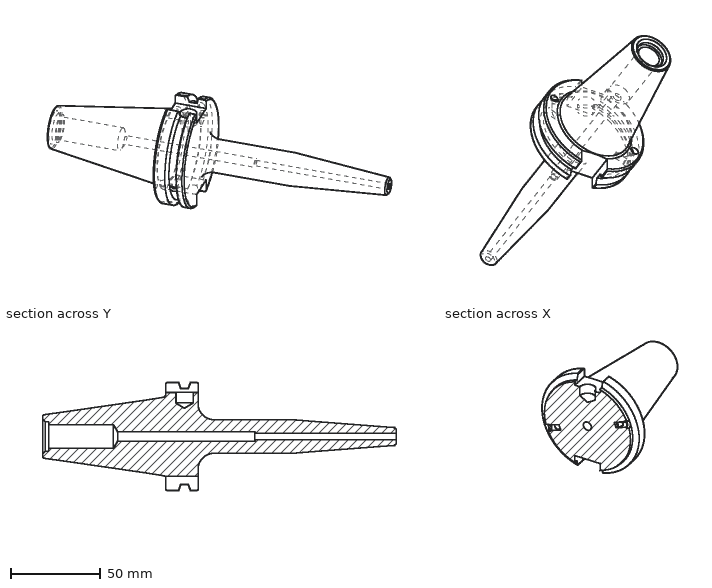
import cadquery as cq
import math

total_length = 198.2
flange_start = 69.0
flange_end = 87.2
shank_end = 141.0

taper_slope = 7 / 24 / 2
taper_large_radius = 22.2
taper_end = 68.2
taper_start_radius = taper_large_radius - taper_slope * taper_end
taper_chamfer = 0.5
neck_flare_radius = 23.5

flange_radius = 63.2 / 2
flange_chamfer = 1.0
groove_center = 79.5
groove_radius = 28.2
groove_floor_width = 4.2
groove_mouth_width = 6.7

shank_radius = 19.0 / 2
shank_fillet = 9.0
tip_radius = 5.2
tip_chamfer = 1.0

slot_width = 16.0
slot_flare = 0.4
slot_flare_start = 30.1
upper_slot_floor = 24.8
lower_slot_floor = 22.5
dimple_diameter = 9.5
dimple_depth = 6.0
drill_half_angle = math.radians(59)

entry_radius = 19.0 / 2
entry_depth = 1.4
seat_radius = 16.3 / 2
seat_depth = 3.4
pilot_radius = 13.0 / 2
pilot_depth = 39.6
channel_radius = 5.0 / 2
channel_depth = 119.0
outlet_radius = 3.2 / 2

coolant_angle = 20.0
hole_diameter = 3.2
feed_mouth_diameter = 4.0
feed_mouth_depth = 2.4
feed_radial_place = 27.0
feed_slope = math.radians(30)
plug_mouth_diameter = 4.2
plug_mouth_depth = 2.0
hole_overrun = 2.0


def make_body():
    """Revolve the outer profile around the X axis."""
    groove_half_mouth = groove_mouth_width / 2
    groove_half_floor = groove_floor_width / 2
    fillet_bend = shank_fillet * math.sqrt(0.5)
    fillet_x = flange_end + shank_fillet
    fillet_radius_place = shank_radius + shank_fillet
    return (
        cq.Workplane("XY")
        .moveTo(0, 0)
        .lineTo(0, taper_start_radius - taper_chamfer)
        .lineTo(taper_chamfer, taper_start_radius + taper_slope * taper_chamfer)
        .lineTo(taper_end, taper_large_radius)
        .lineTo(flange_start, neck_flare_radius)
        .lineTo(flange_start, flange_radius - flange_chamfer)
        .lineTo(flange_start + flange_chamfer, flange_radius)
        .lineTo(groove_center - groove_half_mouth, flange_radius)
        .lineTo(groove_center - groove_half_floor, groove_radius)
        .lineTo(groove_center + groove_half_floor, groove_radius)
        .lineTo(groove_center + groove_half_mouth, flange_radius)
        .lineTo(flange_end - flange_chamfer, flange_radius)
        .lineTo(flange_end, flange_radius - flange_chamfer)
        .lineTo(flange_end, fillet_radius_place)
        .threePointArc(
            (fillet_x - fillet_bend, fillet_radius_place - fillet_bend),
            (fillet_x, shank_radius),
        )
        .lineTo(shank_end, shank_radius)
        .lineTo(total_length - tip_chamfer, tip_radius)
        .lineTo(total_length, tip_radius - tip_chamfer)
        .lineTo(total_length, 0)
        .close()
        .revolve(360, (0, 0, 0), (1, 0, 0))
    )


def make_bore():
    """Revolve the stepped bore, with a drill cone between pilot and channel."""
    cone_length = (pilot_radius - channel_radius) / math.tan(drill_half_angle)
    return (
        cq.Workplane("XY")
        .moveTo(0, 0)
        .lineTo(0, entry_radius)
        .lineTo(entry_depth, seat_radius)
        .lineTo(seat_depth, seat_radius)
        .lineTo(seat_depth, pilot_radius)
        .lineTo(pilot_depth, pilot_radius)
        .lineTo(pilot_depth + cone_length, channel_radius)
        .lineTo(channel_depth, channel_radius)
        .lineTo(channel_depth, outlet_radius)
        .lineTo(total_length, outlet_radius)
        .lineTo(total_length, 0)
        .close()
        .revolve(360, (0, 0, 0), (1, 0, 0))
    )


def make_slot(floor_height, side):
    """Flared drive slot that also cuts the neck flare; side is +1 above the axis, -1 below."""
    half_width = slot_width / 2
    flare_end = slot_flare_start + slot_flare
    half_mouth = half_width + slot_flare
    profile = [
        (half_width, floor_height),
        (half_width, slot_flare_start),
        (half_mouth, flare_end),
        (half_mouth, flange_radius),
    ]
    outline = profile + [(-y, z) for y, z in reversed(profile)]
    return (
        cq.Workplane("YZ", origin=(taper_end, 0, 0))
        .polyline([(y, side * z) for y, z in outline])
        .close()
        .extrude(flange_end - taper_end)
    )


def make_dimple():
    """Drilled hole with a conical bottom in the upper slot floor."""
    radius = dimple_diameter / 2
    straight_bottom = upper_slot_floor - dimple_depth
    cone_bottom = straight_bottom - radius / math.tan(drill_half_angle)
    return (
        cq.Workplane("XZ")
        .moveTo(0, upper_slot_floor)
        .lineTo(radius, upper_slot_floor)
        .lineTo(radius, straight_bottom)
        .lineTo(0, cone_bottom)
        .close()
        .revolve(360, (0, 0, 0), (0, 1, 0))
        .translate((groove_center, 0, 0))
    )


def make_stepped_hole(mouth, direction, mouth_diameter, mouth_depth, depth):
    """Stepped cylinder that starts ahead of the mouth so that it clears the surface."""
    start = mouth - direction * hole_overrun
    wide = cq.Solid.makeCylinder(mouth_diameter / 2, mouth_depth + hole_overrun, start, direction)
    narrow = cq.Solid.makeCylinder(hole_diameter / 2, depth, mouth, direction)
    return cq.Workplane(obj=wide).union(cq.Workplane(obj=narrow))


def make_coolant_holes(angle):
    """Feed and plug holes that meet under the groove, turned about the X axis."""
    feed_direction = cq.Vector(math.cos(feed_slope), -math.sin(feed_slope), 0)
    feed_mouth = cq.Vector(flange_start, feed_radial_place, 0)
    feed_length = (groove_center - flange_start) / math.cos(feed_slope)
    meeting_radius = feed_radial_place - feed_length * math.sin(feed_slope)
    feed = make_stepped_hole(
        feed_mouth, feed_direction, feed_mouth_diameter, feed_mouth_depth, feed_length
    )
    plug = make_stepped_hole(
        cq.Vector(groove_center, groove_radius, 0),
        cq.Vector(0, -1, 0),
        plug_mouth_diameter,
        plug_mouth_depth,
        groove_radius - meeting_radius + hole_diameter / 2,
    )
    return feed.union(plug).rotate((0, 0, 0), (1, 0, 0), angle)


result = make_body().cut(make_bore())
result = result.cut(make_slot(upper_slot_floor, 1))
result = result.cut(make_slot(lower_slot_floor, -1))
result = result.cut(make_dimple())
for half_turn in (0, 180):
    result = result.cut(make_coolant_holes(coolant_angle + half_turn))